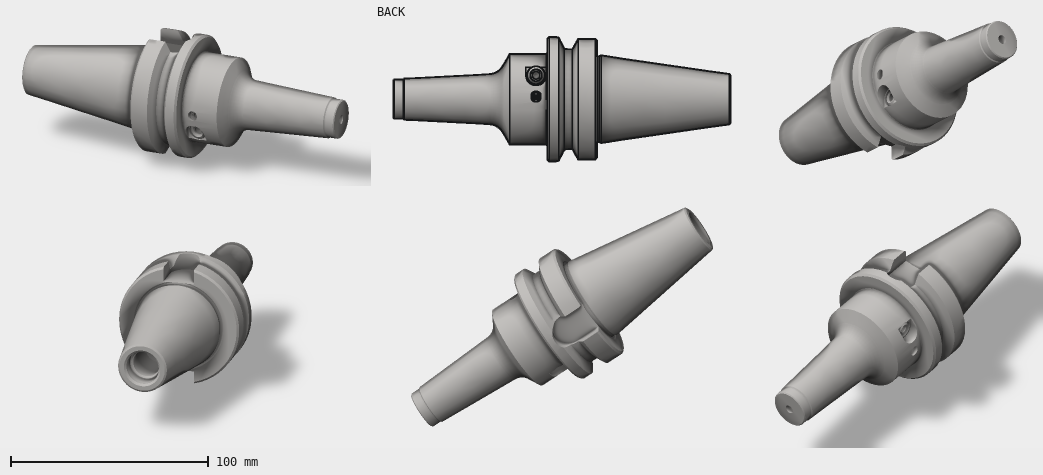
import cadquery as cq
import math

LENGTH = 170.4
BODY_RADIUS = 45.8 / 2

TAPER_LENGTH = 65.5
GAUGE_RADIUS = 44.5 / 2
TAPER_RADIUS_PER_LENGTH = 7 / 48
TAPER_EDGE_LENGTH = 0.7
TAPER_EDGE_DROP = 0.9
RELIEF_RADIUS = 43.5 / 2
RELIEF_START = 66.3

FLANGE_START = 67.5
FLANGE_END = 92.7
FLANGE_RADIUS = 63.0 / 2
FLANGE_CHAMFER = 1.0
FLANGE_CORNER_FILLET = 0.5
GROOVE_CENTER = 82.0
GROOVE_RADIUS = 53.0 / 2
GROOVE_FLOOR_WIDTH = 4.1
GROOVE_SIDE_ANGLE = 30.0

RECESS_RADIUS = BODY_RADIUS
RECESS_DEPTH = 0.3
RECESS_CHAMFER = 0.7

BODY_END = 111.6
BODY_CONE_ANGLE = 60.0
NOSE_FILLET_RADIUS = 8.0

NOSE_CONE_END = 164.8
NOSE_CONE_END_RADIUS = 21.0 / 2
NOSE_CONE_ANGLE = 3.0
TIP_RADIUS = 20.0 / 2
TIP_STEP_LENGTH = 0.5
TIP_CHAMFER = 0.5

MOUTH_RADIUS = 19.0 / 2
BORE_RADIUS = 17.0 / 2
BORE_DEPTH = 7.5
STEP_CHAMFER = 0.9
THREAD_RADIUS = 14.0 / 2
THREAD_DEPTH = 30.7
DRILL_POINT_ANGLE = 59.0
THROUGH_RADIUS = 4.6 / 2

SLOT_WIDTH = 16.0
SLOT_FLOOR = 22.8
SLOT_END = 88.6

SCREW_X = 98.3
SCREW_DROP = 12.1
SEAT_FLOOR = 16.2
SEAT_RADIUS = 5.1
SCREW_RADIUS = 9.0 / 2
SCREW_SINK = 1.4
SCREW_FACE_RADIUS = 6.0 / 2
SOCKET_RADIUS = 4.0 / 2
SOCKET_DEPTH = 2.7
SOCKET_CHAMFER_DEPTH = 0.5

BLEED_DROP = 1.2
BLEED_TILT = 15.0
BLEED_OVERRUN = 1.7
BLEED_STEPS = ((5.0, 3.4), (4.1, 4.0), (3.0, 4.5), (2.4, 6.8))



def rise(length, degrees):
    return length * math.tan(math.radians(degrees))


def revolve_about_x(profile):
    return profile.close().revolve(360, (0, 0, 0), (1, 0, 0))


def turned_blank():
    taper_start_radius = GAUGE_RADIUS - TAPER_LENGTH * TAPER_RADIUS_PER_LENGTH
    groove_side = rise(FLANGE_RADIUS - GROOVE_RADIUS, GROOVE_SIDE_ANGLE)
    floor_start = GROOVE_CENTER - GROOVE_FLOOR_WIDTH / 2
    floor_end = GROOVE_CENTER + GROOVE_FLOOR_WIDTH / 2
    flange_rim = FLANGE_RADIUS - FLANGE_CHAMFER
    recess_rim = RECESS_RADIUS + RECESS_CHAMFER

    steep = math.radians(BODY_CONE_ANGLE)
    gentle = math.radians(NOSE_CONE_ANGLE)
    steep_offset = BODY_RADIUS + BODY_END * math.tan(steep) + NOSE_FILLET_RADIUS / math.cos(steep)
    gentle_offset = (
        NOSE_CONE_END_RADIUS + NOSE_CONE_END * math.tan(gentle) + NOSE_FILLET_RADIUS / math.cos(gentle)
    )
    center_x = (steep_offset - gentle_offset) / (math.tan(steep) - math.tan(gentle))
    center_r = gentle_offset - center_x * math.tan(gentle)

    def fillet_point(angle):
        return (
            center_x - NOSE_FILLET_RADIUS * math.sin(angle),
            center_r - NOSE_FILLET_RADIUS * math.cos(angle),
        )

    profile = (
        cq.Workplane("XY")
        .moveTo(0, 0)
        .lineTo(0, taper_start_radius - TAPER_EDGE_DROP)
        .lineTo(TAPER_EDGE_LENGTH, taper_start_radius + TAPER_EDGE_LENGTH * TAPER_RADIUS_PER_LENGTH)
        .lineTo(TAPER_LENGTH, GAUGE_RADIUS)
        .lineTo(RELIEF_START, RELIEF_RADIUS)
        .lineTo(FLANGE_START + RECESS_DEPTH, RELIEF_RADIUS)
        .lineTo(FLANGE_START + RECESS_DEPTH, RECESS_RADIUS)
        .lineTo(FLANGE_START, recess_rim)
        .lineTo(FLANGE_START, flange_rim)
        .lineTo(FLANGE_START + FLANGE_CHAMFER, FLANGE_RADIUS)
        .lineTo(floor_start - groove_side, FLANGE_RADIUS)
        .lineTo(floor_start, GROOVE_RADIUS)
        .lineTo(floor_end, GROOVE_RADIUS)
        .lineTo(floor_end + groove_side, FLANGE_RADIUS)
        .lineTo(FLANGE_END - FLANGE_CHAMFER, FLANGE_RADIUS)
        .lineTo(FLANGE_END, flange_rim)
        .lineTo(FLANGE_END, BODY_RADIUS + FLANGE_CORNER_FILLET)
        .radiusArc((FLANGE_END + FLANGE_CORNER_FILLET, BODY_RADIUS), -FLANGE_CORNER_FILLET)
        .lineTo(BODY_END, BODY_RADIUS)
        .lineTo(*fillet_point(steep))
        .threePointArc(fillet_point((steep + gentle) / 2), fillet_point(gentle))
        .lineTo(NOSE_CONE_END, NOSE_CONE_END_RADIUS)
        .lineTo(NOSE_CONE_END + TIP_STEP_LENGTH, TIP_RADIUS)
        .lineTo(LENGTH - TIP_CHAMFER, TIP_RADIUS)
        .lineTo(LENGTH, TIP_RADIUS - TIP_CHAMFER)
        .lineTo(LENGTH, 0)
    )
    return revolve_about_x(profile)


def axial_bore():
    mouth_depth = MOUTH_RADIUS - BORE_RADIUS
    point_depth = (THREAD_RADIUS - THROUGH_RADIUS) / math.tan(math.radians(DRILL_POINT_ANGLE))
    profile = (
        cq.Workplane("XY")
        .moveTo(0, 0)
        .lineTo(0, MOUTH_RADIUS)
        .lineTo(mouth_depth, BORE_RADIUS)
        .lineTo(BORE_DEPTH, BORE_RADIUS)
        .lineTo(BORE_DEPTH, THREAD_RADIUS + STEP_CHAMFER)
        .lineTo(BORE_DEPTH + STEP_CHAMFER, THREAD_RADIUS)
        .lineTo(THREAD_DEPTH, THREAD_RADIUS)
        .lineTo(THREAD_DEPTH + point_depth, THROUGH_RADIUS)
        .lineTo(LENGTH, THROUGH_RADIUS)
        .lineTo(LENGTH, 0)
    )
    return revolve_about_x(profile)


def key_slot():
    """Round-ended slot, open towards -X, cut above its floor on the +Z side."""
    arc_center = SLOT_END - SLOT_WIDTH / 2
    straight = cq.Workplane("XY", origin=(0, 0, SLOT_FLOOR)).rect(2 * arc_center, SLOT_WIDTH)
    rounded_end = cq.Workplane("XY", origin=(arc_center, 0, SLOT_FLOOR)).circle(SLOT_WIDTH / 2)
    return straight.extrude(FLANGE_RADIUS).union(rounded_end.extrude(FLANGE_RADIUS))


def screw_seat():
    """U-shaped pocket open towards -Z, with the sunk clamping screw in its floor."""
    floor = cq.Workplane("XZ", origin=(SCREW_X, -SEAT_FLOOR, -SCREW_DROP))
    pocket = floor.circle(SEAT_RADIUS).extrude(BODY_RADIUS)
    leg = floor.center(0, -BODY_RADIUS / 2).rect(2 * SEAT_RADIUS, BODY_RADIUS).extrude(BODY_RADIUS)
    sink = floor.circle(SCREW_RADIUS).extrude(-SCREW_SINK)
    head = (
        floor.workplane(offset=-SCREW_SINK)
        .circle(SCREW_RADIUS)
        .workplane(offset=SCREW_SINK)
        .circle(SCREW_FACE_RADIUS)
        .loft()
    )
    point_depth = SOCKET_RADIUS / math.tan(math.radians(DRILL_POINT_ANGLE))
    socket = (
        cq.Workplane("XY")
        .moveTo(0, 0)
        .lineTo(SCREW_FACE_RADIUS, 0)
        .lineTo(SOCKET_RADIUS, -SOCKET_CHAMFER_DEPTH)
        .lineTo(SOCKET_RADIUS, -SOCKET_DEPTH)
        .lineTo(0, -SOCKET_DEPTH - point_depth)
        .close()
        .revolve(360, (0, 0, 0), (0, 1, 0))
        .rotate((0, 0, 0), (1, 0, 0), 180)
        .translate((SCREW_X, -SEAT_FLOOR, -SCREW_DROP))
    )
    return pocket.union(leg).union(sink).cut(head).union(socket)


def bleed_hole():
    """Small stepped hole in the -Y side, sloping towards -Z as it goes in."""
    mouth_y = -math.sqrt(BODY_RADIUS**2 - BLEED_DROP**2)
    mouth = cq.Workplane("XZ", origin=(SCREW_X, mouth_y, -BLEED_DROP))
    hole = mouth.circle(BLEED_STEPS[0][0] / 2).extrude(BLEED_OVERRUN)
    for diameter, depth in BLEED_STEPS:
        hole = hole.union(mouth.circle(diameter / 2).extrude(-depth))
    pivot = (SCREW_X, mouth_y, -BLEED_DROP)
    pivot_end = (SCREW_X + 1.7, mouth_y, -BLEED_DROP)
    return hole.rotate(pivot, pivot_end, -BLEED_TILT)


result = turned_blank().cut(axial_bore())
for turn in (0, 180):
    for feature in (key_slot(), screw_seat(), bleed_hole()):
        result = result.cut(feature.rotate((0, 0, 0), (1, 0, 0), turn))